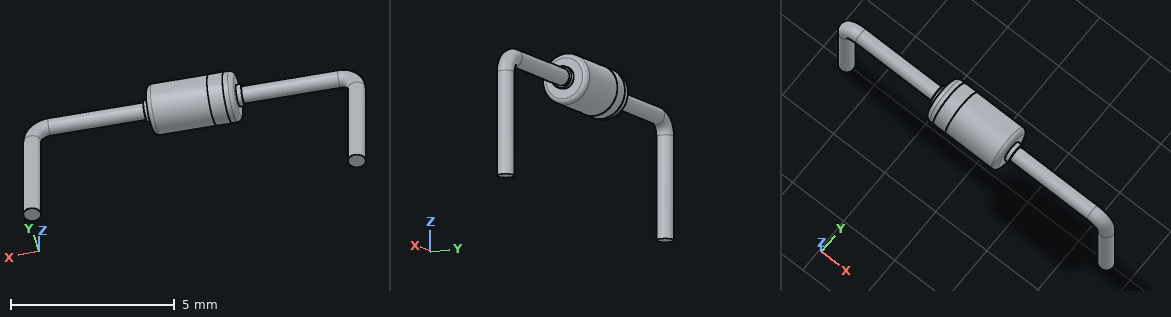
import cadquery as cq

overall_length = 10.71
wire_diameter = 0.55
bend_radius = wire_diameter
leg_end_z = -3.8

body_length = 2.74
body_diameter = 1.6
body_edge_radius = 0.16

band_diameter = 1.61
band_start_x = -1.05
band_width = 0.48

collar_diameter = 0.69
collar_length = 0.16

leg_x = (overall_length - wire_diameter) / 2


def cylinder_along_x(start_x, length, diameter):
    return cq.Workplane("YZ", origin=(start_x, 0, 0)).circle(diameter / 2).extrude(length)


def make_wire():
    """One round wire bent down at both ends."""
    path = (
        cq.Workplane("XZ")
        .moveTo(-leg_x, leg_end_z)
        .lineTo(-leg_x, -bend_radius)
        .radiusArc((-leg_x + bend_radius, 0), bend_radius)
        .lineTo(leg_x - bend_radius, 0)
        .radiusArc((leg_x, -bend_radius), bend_radius)
        .lineTo(leg_x, leg_end_z)
    )
    profile = cq.Workplane("XY", origin=(-leg_x, 0, leg_end_z)).circle(wire_diameter / 2)
    return profile.sweep(path)


def make_body():
    """Rounded cylinder with its raised polarity band."""
    body = cylinder_along_x(-body_length / 2, body_length, body_diameter)
    body = body.edges().fillet(body_edge_radius)
    return body.union(cylinder_along_x(band_start_x, band_width, band_diameter))


def make_collars():
    """Both collars as one cylinder running through the body."""
    length = body_length + 2 * collar_length
    return cylinder_along_x(-length / 2, length, collar_diameter)


result = make_body().union(make_collars()).union(make_wire())